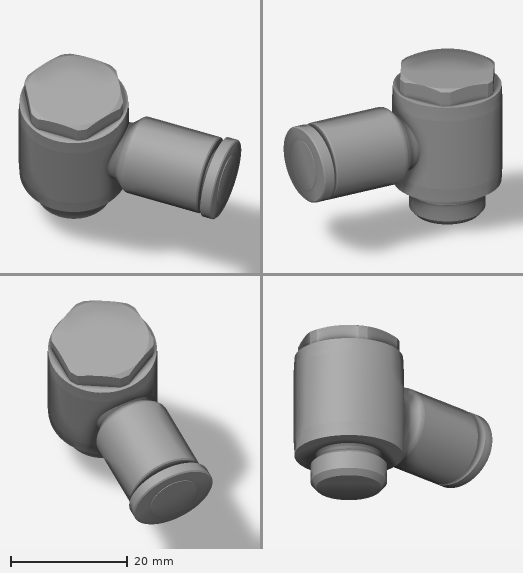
import cadquery as cq
import math

overall_length = 37.6
body_diameter = 19.0
body_radius = body_diameter / 2
body_end_radius = 9.35
body_height = 18.0
body_taper_height = 2.52

thread_radius = 6.58
thread_height = 3.1
thread_tip_radius = 5.68
thread_tip_height = 1.0
groove_radius = 5.6
groove_height = 0.55
groove_top_radius = 5.75
groove_top_height = 0.45
groove_cone_height = 0.85
stem_height = thread_tip_height + thread_height + groove_cone_height + groove_height + groove_top_height

hex_across_flats = 15.98
hex_corner_radius = 8.8
hex_height = 3.0
hex_bevel_height = 0.38

socket_z = stem_height + body_height / 2
neck_radius = 5.05
socket_radius = 6.8
shoulder_start = 9.5
shoulder_end = 11.43
socket_end = 25.2
socket_end_chamfer = 0.23
shoulder_blend = 1.0

collar_stem_radius = 4.8
collar_start = 26.05
collar_end = 28.0
collar_half_width = 7.55
collar_half_height = 6.55
collar_chamfer = 0.23
collar_lip_radius = 4.4
collar_lip_end = overall_length - body_radius


def make_body():
    """Thread, relief groove and sleeve as one turned profile in the XZ plane."""
    thread_top = thread_tip_height + thread_height
    groove_bottom = thread_top + groove_cone_height
    body_top = stem_height + body_height
    profile = [
        (0, 0),
        (thread_tip_radius, 0),
        (thread_radius, thread_tip_height),
        (thread_radius, thread_top),
        (groove_radius, groove_bottom),
        (groove_radius, groove_bottom + groove_height),
        (groove_top_radius, stem_height),
        (body_end_radius, stem_height),
        (body_radius, stem_height + body_taper_height),
        (body_radius, body_top - body_taper_height),
        (body_end_radius, body_top),
        (0, body_top),
    ]
    return cq.Workplane("XZ").polyline(profile).close().revolve(360, (0, 0), (0, 1))


def make_hex_head():
    """Hexagon with two corners on the X axis, bevelled on top down to its flats."""
    head_bottom = cq.Workplane("XY").workplane(offset=stem_height + body_height)
    across_corners = hex_across_flats / math.cos(math.pi / 6)
    hexagon = head_bottom.polygon(6, across_corners).extrude(hex_height)
    bevel_width = hex_corner_radius - hex_across_flats / 2
    envelope = (
        head_bottom.circle(hex_corner_radius)
        .extrude(hex_height)
        .faces(">Z")
        .chamfer(hex_bevel_height, bevel_width)
    )
    return hexagon.intersect(envelope)


def disc_along_x(radius, start, end):
    """Cylinder on the socket axis between two X positions."""
    return cq.Workplane("YZ", origin=(start, 0, socket_z)).circle(radius).extrude(end - start)


def make_socket():
    """Neck, conical shoulder and socket barrel, with both shoulder edges blended."""
    profile = [
        (0, 0),
        (0, neck_radius),
        (shoulder_start, neck_radius),
        (shoulder_end, socket_radius),
        (socket_end - socket_end_chamfer, socket_radius),
        (socket_end, socket_radius - socket_end_chamfer),
        (socket_end, 0),
    ]
    socket = cq.Workplane("XZ").polyline(profile).close().revolve(360, (0, 0), (1, 0))
    for edge_x in (shoulder_start, shoulder_end):
        shoulder_edge = cq.selectors.NearestToPointSelector((edge_x, 0, 0))
        socket = socket.edges("%CIRCLE").edges(shoulder_edge).fillet(shoulder_blend)
    return socket.translate((0, 0, socket_z))


def make_collar():
    """Oval release collar, chamfered on its outer face, with a thin round lip."""
    collar = (
        cq.Workplane("YZ", origin=(collar_start, 0, socket_z))
        .ellipse(collar_half_width, collar_half_height)
        .extrude(collar_end - collar_start)
        .faces(">X")
        .chamfer(collar_chamfer)
    )
    stem = disc_along_x(collar_stem_radius, socket_end, collar_start)
    lip = disc_along_x(collar_lip_radius, collar_end, collar_lip_end)
    return collar.union(stem).union(lip)


result = make_body().union(make_hex_head()).union(make_socket()).union(make_collar())